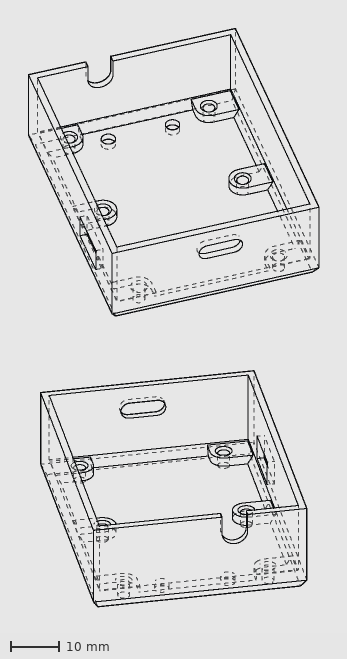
import cadquery as cq

length = 56.5
width = 45.2
height = 19.4
base_bevel_height = 2.0
base_bevel_inset = 1.15
wall = 1.5

floor_thickness = 1.5
slope_height = 2.25
slope_inset = 1.3
cavity_length = length - 2 * wall
cavity_width = width - 2 * wall

boss_top = 3.5
boss_radius = 2.9
boss_columns = (-23.5, -0.6, 23.6)
boss_row = 15.25
screw_diameter = 2.5
countersink_diameter = 3.5
countersink_angle = 90

floor_hole_diameter = 3.0
floor_hole_x = -22.5
floor_hole_rows = (7.0, -7.0)
window_length = 10.7
window_height = 5.4
window_x = 11.9
window_bottom = 4.75
notch_width = 5.4
notch_depth = 6.7
notch_y = -7.35
slot_length = 9.5
slot_height = 3.6
slot_y = 1.15
slot_z = 13.7
wall_cut = 2 * wall


def tapered_block(bottom, taper_height, inset, full_length, full_width):
    """Box up to the rim whose four sides narrow by inset towards the bottom."""
    taper_top = bottom + taper_height
    taper = (
        cq.Workplane("XY", origin=(0, 0, bottom))
        .rect(full_length - 2 * inset, full_width - 2 * inset)
        .workplane(offset=taper_height)
        .rect(full_length, full_width)
        .loft(ruled=True)
    )
    upper = (
        cq.Workplane("XY", origin=(0, 0, taper_top))
        .rect(full_length, full_width)
        .extrude(height - taper_top)
    )
    return taper.union(upper)


def boss(x, side):
    """Round-nosed boss reaching to the long wall and, at a corner, to the end wall."""
    y = side * boss_row
    boss_height = boss_top - floor_thickness
    wall_reach = cavity_width / 2 - boss_row
    floor = cq.Workplane("XY", origin=(0, 0, floor_thickness))
    body = floor.center(x, y).circle(boss_radius).extrude(boss_height)
    body = body.union(
        floor.center(x, y + side * wall_reach / 2)
        .rect(2 * boss_radius, wall_reach)
        .extrude(boss_height)
    )
    if x in (boss_columns[0], boss_columns[-1]):
        end = 1 if x > 0 else -1
        end_reach = cavity_length / 2 - abs(x)
        end_width = wall_reach + boss_radius
        end_y = y + side * (wall_reach - boss_radius) / 2
        body = body.union(
            floor.center(x + end * end_reach / 2, end_y)
            .rect(end_reach, end_width)
            .extrude(boss_height)
        )
    return body


outer = tapered_block(0, base_bevel_height, base_bevel_inset, length, width)
cavity = tapered_block(floor_thickness, slope_height, slope_inset, cavity_length, cavity_width)
result = outer.cut(cavity)

boss_centers = [(x, side * boss_row) for x in boss_columns for side in (-1, 1)]
for boss_x in boss_columns:
    for boss_side in (-1, 1):
        result = result.union(boss(boss_x, boss_side))
result = (
    result.copyWorkplane(cq.Workplane("XY", origin=(0, 0, boss_top)))
    .pushPoints(boss_centers)
    .cskHole(screw_diameter, countersink_diameter, countersink_angle)
)

floor_holes = (
    cq.Workplane("XY")
    .pushPoints([(floor_hole_x, y) for y in floor_hole_rows])
    .circle(floor_hole_diameter / 2)
    .extrude(height)
)
result = result.cut(floor_holes)

window = cq.Workplane("XY").box(window_length, wall_cut, window_height)
result = result.cut(window.translate((window_x, -width / 2, window_bottom + window_height / 2)))

notch_radius = notch_width / 2
notch_center_z = height - notch_depth + notch_radius
notch = (
    cq.Workplane("YZ", origin=(-length / 2, notch_y, 0))
    .moveTo(-notch_radius, height)
    .lineTo(-notch_radius, notch_center_z)
    .threePointArc((0, height - notch_depth), (notch_radius, notch_center_z))
    .lineTo(notch_radius, height)
    .close()
    .extrude(wall_cut / 2, both=True)
)
result = result.cut(notch)

slot = (
    cq.Workplane("YZ", origin=(length / 2, slot_y, slot_z))
    .slot2D(slot_length, slot_height)
    .extrude(wall_cut / 2, both=True)
)
result = result.cut(slot)